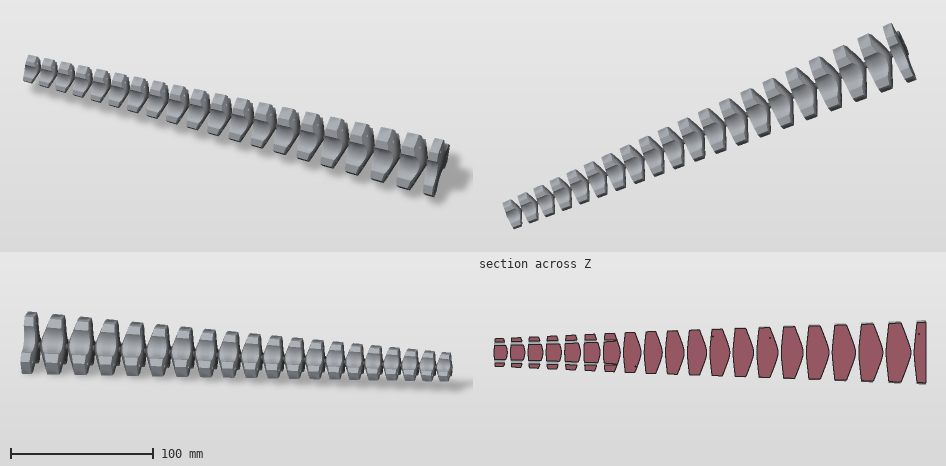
import cadquery as cq
import math


length = 303.7
tip_scale = 0.46

lobe_reach = 22.5
side_distance = 16.7
scallop_half_width = 9.7
scallop_depth = 6.5
lobe_count = 3
lobe_step = 360.0 / lobe_count
lobe_half_width = (2 * side_distance - lobe_reach) / math.sqrt(3)

groove_count = 19
first_groove_x = 11.5
last_groove_x = 294.5
pitch_growth = 1.028
front_angle = 6.5
back_angle = 21.5
lobe_clearance = 6.0
disc_radius = lobe_reach + lobe_clearance

core_tip_radius = 1.28
core_base_radius = 2.5
hole_diameter = 2.0
hole_tip_radius = 7.0
hole_base_radius = 16.5
hole_overrun = 3.0


def polar(radius, offset, angle, scale):
    """Point at a radius along a direction and an offset to its left, as (Y, Z)."""
    turn = math.radians(angle)
    y = radius * math.cos(turn) - offset * math.sin(turn)
    z = radius * math.sin(turn) + offset * math.cos(turn)
    return (scale * y, scale * z)


def draw_profile(plane, scale):
    """Outline of the lobed section on a plane across the arm."""
    first_lobe = 90.0
    outline = plane.moveTo(*polar(lobe_reach, -lobe_half_width, first_lobe, scale))
    for lobe in range(lobe_count):
        lobe_angle = first_lobe + lobe * lobe_step
        side_angle = lobe_angle + lobe_step / 2
        outline = outline.lineTo(*polar(lobe_reach, lobe_half_width, lobe_angle, scale))
        outline = outline.lineTo(*polar(side_distance, -scallop_half_width, side_angle, scale))
        outline = outline.threePointArc(
            polar(side_distance - scallop_depth, 0, side_angle, scale),
            polar(side_distance, scallop_half_width, side_angle, scale),
        )
        if lobe < lobe_count - 1:
            next_lobe = lobe_angle + lobe_step
            outline = outline.lineTo(*polar(lobe_reach, -lobe_half_width, next_lobe, scale))
    return outline.close()


def make_body():
    """Uncut arm, tapering straight from the base profile to the tip profile."""
    tip = draw_profile(cq.Workplane("YZ"), tip_scale)
    return draw_profile(tip.workplane(offset=length), 1.0).loft(ruled=True, combine=True)


def groove_positions():
    """X of the point of each groove on the axis."""
    span = last_groove_x - first_groove_x
    growth_over_span = pitch_growth ** (groove_count - 1) - 1
    return [
        first_groove_x + span * (pitch_growth ** index - 1) / growth_over_span
        for index in range(groove_count)
    ]


def core_radius(x):
    """Radius of the tapered core at X."""
    return core_tip_radius + (core_base_radius - core_tip_radius) * x / length


def make_stepped_envelope():
    """Solid of revolution about X: the core with a bevelled disc around it for each segment."""
    front_slope = math.tan(math.radians(front_angle))
    back_slope = math.tan(math.radians(back_angle))
    outline = [(0, 0), (0, core_tip_radius)]
    outline.append((core_tip_radius * front_slope, core_tip_radius))
    outline.append((disc_radius * front_slope, disc_radius))
    for x in groove_positions():
        bottom = core_radius(x)
        outline.append((x - disc_radius * back_slope, disc_radius))
        outline.append((x - bottom * back_slope, bottom))
        outline.append((x + bottom * front_slope, bottom))
        outline.append((x + disc_radius * front_slope, disc_radius))
    outline += [(length, disc_radius), (length, 0)]
    return cq.Workplane("XY").polyline(outline).close().revolve(360, (0, 0), (1, 0))


def make_tendon_hole(lobe):
    """Hole through every segment, leaning outward with the taper of the arm."""
    rise = hole_base_radius - hole_tip_radius
    hole = cq.Solid.makeCylinder(
        hole_diameter / 2,
        math.hypot(length, rise) + hole_overrun,
        cq.Vector(0, 0, hole_tip_radius),
        cq.Vector(length, 0, rise),
    )
    return hole.rotate(cq.Vector(0, 0, 0), cq.Vector(1, 0, 0), lobe * lobe_step)


arm = make_body().intersect(make_stepped_envelope())
for lobe_index in range(lobe_count):
    arm = arm.cut(cq.Workplane(obj=make_tendon_hole(lobe_index)))

result = arm